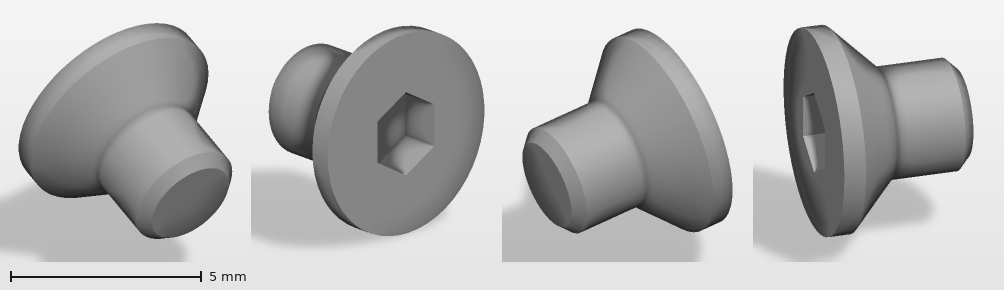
import cadquery as cq
import math

length = 4.0
head_radius = 2.77
rim_thickness = 0.595
shank_radius = 1.5
neck_fillet = 0.1
tip_chamfer = 0.3
socket_across_flats = 2.0
socket_depth = 1.12

cone_end = rim_thickness + head_radius - shank_radius


def make_body():
    """Revolve the half profile of the head, cone and shank about X."""
    profile = (
        cq.Workplane("XY")
        .moveTo(0, 0)
        .lineTo(0, head_radius)
        .lineTo(rim_thickness, head_radius)
        .lineTo(cone_end, shank_radius)
        .lineTo(length - tip_chamfer, shank_radius)
        .lineTo(length, shank_radius - tip_chamfer)
        .lineTo(length, 0)
        .close()
    )
    body = profile.revolve(360, (0, 0, 0), (1, 0, 0))
    neck_edge = cq.selectors.BoxSelector(
        (cone_end - neck_fillet, -head_radius, -head_radius),
        (cone_end + neck_fillet, head_radius, head_radius),
        boundingbox=True,
    )
    return body.edges(neck_edge).fillet(neck_fillet)


def make_socket():
    """Flat-bottomed hexagon with two corners on the Z direction."""
    across_corners = socket_across_flats / math.cos(math.radians(30))
    return (
        cq.Workplane("YZ")
        .transformed(rotate=(0, 0, 90))
        .polygon(6, across_corners)
        .extrude(socket_depth)
    )


result = make_body().cut(make_socket())